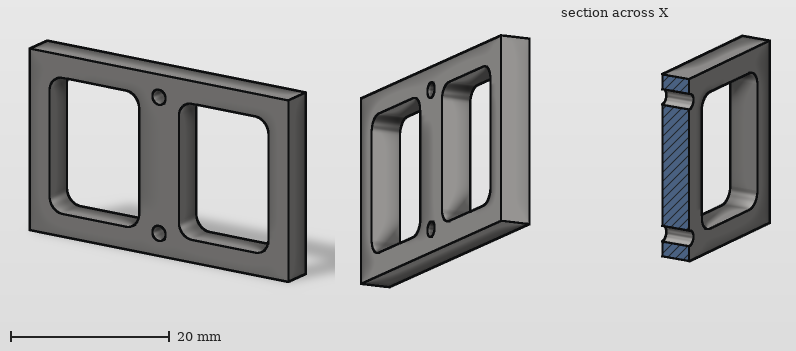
import cadquery as cq

length = 39.0
thickness = 4.0
height = 24.0

rim = 3.0
bar_width = 2 * rim
corner_radius = 2.0
window_width = (length - 2 * rim - bar_width) / 2
window_height = height - 2 * rim
window_offset = (bar_width + window_width) / 2

hole_diameter = 2.0
hole_offset = window_height / 2


def make_windows():
    """Rounded rectangular cutters for both windows."""
    return (
        cq.Workplane("XZ")
        .pushPoints([(-window_offset, 0), (window_offset, 0)])
        .rect(window_width, window_height)
        .extrude(thickness / 2, both=True)
        .edges("|Y")
        .fillet(corner_radius)
    )


def make_holes():
    """Round cutters above and below the centre of the bar."""
    return (
        cq.Workplane("XZ")
        .pushPoints([(0, -hole_offset), (0, hole_offset)])
        .circle(hole_diameter / 2)
        .extrude(thickness / 2, both=True)
    )


plate = cq.Workplane("XY").box(length, thickness, height)
result = plate.cut(make_windows()).cut(make_holes())